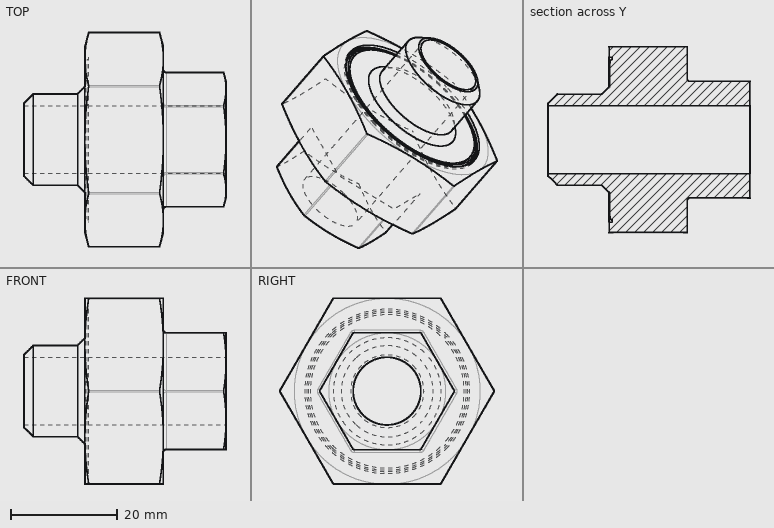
import cadquery as cq
import math

TOTAL_LENGTH = 38.0
TUBE_CHAMFER = 1.75
FLARE_START = 10.1
NUT_START = 11.45
NUT_END = 26.22
INSERT_FACE = 11.6

TUBE_RADIUS = 8.62
BORE_RADIUS = 6.35

NUT_ACROSS_FLATS = 35.0
NUT_CHAMFER_ANGLE = 15.0
NUT_OPENING_RADIUS = 15.5
NUT_OPENING_DEPTH = 0.6

INSERT_RADIUS = 15.15
INSERT_CHAMFER = 0.3
PAD_RADIUS = 14.46
PAD_HEIGHT = 0.05

END_ACROSS_FLATS = 22.0
END_CHAMFER_ANGLE = 15.0
END_ROOT_FILLET = 0.5

CORNER_RADIUS = 0.3


def hex_prism(across_flats, start, end):
    """Hexagonal bar along X with flats facing +Z and -Z and rounded corners."""
    across_corners = across_flats / math.cos(math.radians(30))
    bar = cq.Workplane("YZ", origin=(start, 0, 0)).polygon(6, across_corners).extrude(end - start)
    return bar.edges("|X").fillet(CORNER_RADIUS)


def turned(profile):
    """Solid of revolution about X from (x, radius) points."""
    return cq.Workplane("XY").polyline(profile).close().revolve(360, (0, 0, 0), (1, 0, 0))


def chamfer_envelope(across_flats, angle, start, end, both_ends):
    """Turned envelope whose end cones cut the hexagon corners, starting at the flats."""
    flat_radius = across_flats / 2
    outer_radius = across_flats / math.sqrt(3)
    setback = (outer_radius - flat_radius) * math.tan(math.radians(angle))
    profile = [(start, 0)]
    if both_ends:
        profile += [(start, flat_radius), (start + setback, outer_radius)]
    else:
        profile += [(start, outer_radius)]
    profile += [(end - setback, outer_radius), (end, flat_radius), (end, 0)]
    return turned(profile)


def union_nut():
    envelope = chamfer_envelope(NUT_ACROSS_FLATS, NUT_CHAMFER_ANGLE, NUT_START, NUT_END, True)
    return hex_prism(NUT_ACROSS_FLATS, NUT_START, NUT_END).intersect(envelope)


def nut_opening():
    opening = cq.Workplane("YZ", origin=(NUT_START, 0, 0)).circle(NUT_OPENING_RADIUS)
    return opening.extrude(NUT_OPENING_DEPTH)


def tube_and_insert():
    flare_radius = TUBE_RADIUS + INSERT_FACE - FLARE_START
    rim_face = INSERT_FACE + PAD_HEIGHT
    opening_floor = NUT_START + NUT_OPENING_DEPTH
    return turned([
        (0, 0),
        (0, TUBE_RADIUS - TUBE_CHAMFER),
        (TUBE_CHAMFER, TUBE_RADIUS),
        (FLARE_START, TUBE_RADIUS),
        (INSERT_FACE, flare_radius),
        (INSERT_FACE, PAD_RADIUS),
        (rim_face, PAD_RADIUS),
        (rim_face, INSERT_RADIUS - INSERT_CHAMFER),
        (rim_face + INSERT_CHAMFER, INSERT_RADIUS),
        (opening_floor, INSERT_RADIUS),
        (opening_floor, 0),
    ])


def female_end():
    envelope = chamfer_envelope(END_ACROSS_FLATS, END_CHAMFER_ANGLE, NUT_END, TOTAL_LENGTH, False)
    return hex_prism(END_ACROSS_FLATS, NUT_END, TOTAL_LENGTH).intersect(envelope)


def root_edges(body):
    """Edges where the female end meets the nut face."""
    reach = END_ACROSS_FLATS * 0.6
    tolerance = 0.01
    return body.edges(cq.selectors.BoxSelector(
        (NUT_END - tolerance, -reach, -reach),
        (NUT_END + tolerance, reach, reach),
    ))


def bore():
    return cq.Workplane("YZ").circle(BORE_RADIUS).extrude(TOTAL_LENGTH)


body = union_nut().union(female_end())
body = root_edges(body).fillet(END_ROOT_FILLET)
body = body.cut(nut_opening()).union(tube_and_insert())
result = body.cut(bore())